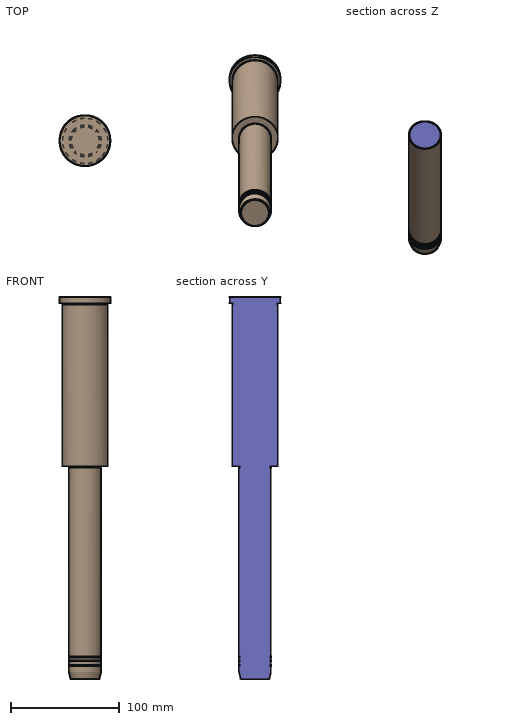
import cadquery as cq
import math

total_length = 351.0
flange_diameter = 47.0
flange_thickness = 6.0
body_diameter = 42.0
shoulder_height = 195.5
shaft_diameter = 30.0

taper_height = 7.0
taper_angle = 13.0

groove_width = 1.0
groove_depth = 0.53
groove_heights = (12.3, 16.5, 20.0)

flange_chamfer = 0.5
tip_chamfer = 0.7


def cylinder(diameter, bottom, top):
    """Solid cylinder on the Z axis between two heights."""
    return cq.Workplane("XY").workplane(offset=bottom).circle(diameter / 2).extrude(top - bottom)


def tapered_tip():
    """Cone that widens upward from the tip to the shaft diameter."""
    shaft_radius = shaft_diameter / 2
    tip_radius = shaft_radius - taper_height * math.tan(math.radians(taper_angle))
    profile = [(0, 0), (tip_radius, 0), (shaft_radius, taper_height), (0, taper_height)]
    return cq.Workplane("XZ").polyline(profile).close().revolve(360, (0, 0), (0, 1))


def ring_groove(diameter, bottom):
    """Shallow ring to remove from a cylindrical surface of the given diameter."""
    outer = cylinder(flange_diameter, bottom, bottom + groove_width)
    core = cylinder(diameter - 2 * groove_depth, bottom, bottom + groove_width)
    return outer.cut(core)


flange_bottom = total_length - flange_thickness

result = tapered_tip()
result = result.union(cylinder(shaft_diameter, taper_height, shoulder_height))
result = result.union(cylinder(body_diameter, shoulder_height, flange_bottom))
result = result.union(cylinder(flange_diameter, flange_bottom, total_length))

result = result.cut(ring_groove(body_diameter, flange_bottom - groove_width))
result = result.cut(ring_groove(shaft_diameter, shoulder_height - groove_width))

for groove_bottom in groove_heights:
    result = result.cut(ring_groove(shaft_diameter, groove_bottom))

result = result.faces(">Z").edges().chamfer(flange_chamfer)
result = result.faces("<Z").edges().chamfer(tip_chamfer)